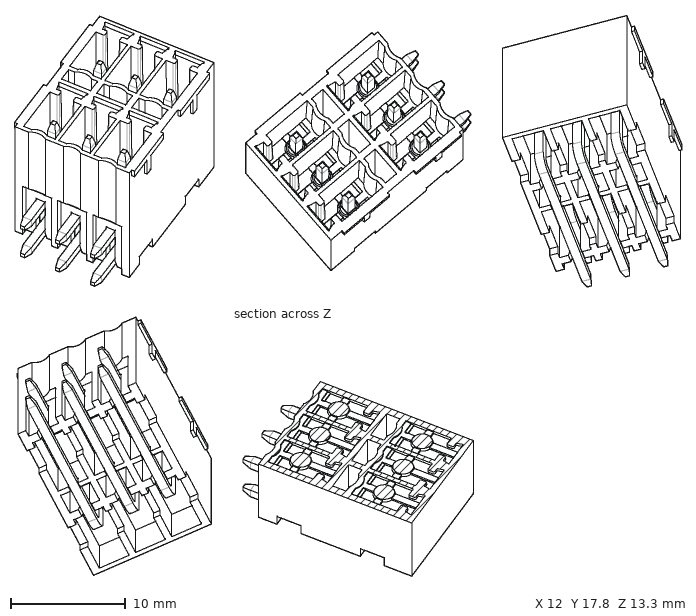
import cadquery as cq
import math


overall_length = 17.8
housing_width = 11.43
housing_depth = 15.18
housing_height = 13.3
column_pitch = 3.5
row_pitch = 8.26
front_row_y = 3.0
column_xs = [-column_pitch, 0, column_pitch]
row_ys = [front_row_y, front_row_y + row_pitch]

pad_thickness = 0.28
pad_length = 5.22
pad_height = 0.71
pad_offset = 0.02
pad_stem_width = 0.65
pad_stem_height = 2.47

floor_z = 6.4
pocket_depth = housing_height - floor_z
pocket_half_width = 1.57
pocket_front = 2.6
pocket_front_draft = 0.2
pocket_draft = 0.062
nib_front = 2.1
nib_back = 2.69
nib_gap_half = 0.71
nib_radius = 0.16
key_half_front = 1.23
key_half_back = 1.37
key_back = 3.4
lead_in_half_width = 1.45
lead_in_width = 0.15
lead_in_height = 0.4
wall_bulge = 0.27
bulge_half_width = 0.78

rib_width = 0.65
rib_height = 0.18
step_height = rib_height / 2
step_back = 1.62
ledge_back = 1.89
collar_base_radius = 0.98
collar_radius = 0.85
collar_top_radius = 0.73
collar_cone_height = 0.53
collar_chamfer_height = 0.15
pin_clearance_size = 0.9
pin_clearance_depth = 0.18

flute_half_width = 0.85
cell_width = 2.88
recess_depth = 0.6
recess_front_height = 6.09
slot_wall_thickness = 0.73
slot_width = 0.93
slot_height = 4.52
flare_half_width = 0.64
flare_height = 0.6

window_front = 6.98
window_back = row_pitch
cavity_height = slot_height
cavity_back = 3.5
tail_slot_height = 0.98
notch_length = 2.37
notch_height = 0.98

pin_size = 0.82
pin_tip_size = 0.41
pin_taper = 0.85
pin_top = 12.14
tail_tip_y = housing_depth - overall_length
bend_radius = 0.89
lower_tail_z = 0.48
tail_zs = [lower_tail_z + column_pitch, lower_tail_z]


def block(x_range, y_range, z_range):
    """Box between the given coordinate pairs."""
    size = [high - low for low, high in (x_range, y_range, z_range)]
    corner = (x_range[0], y_range[0], z_range[0])
    return cq.Workplane("XY").box(*size, centered=False).translate(corner)


def centred_block(x, width, y_range, z_range):
    """Box of the given width centred on x."""
    return block((x - width / 2, x + width / 2), y_range, z_range)


def side_pads(y):
    """T-shaped pads standing out of both side faces beside one pin row."""
    width = housing_width + 2 * pad_thickness
    back = y + pad_length / 2 + pad_offset
    bar = centred_block(0, width, (back - pad_length, back), (housing_height - pad_height, housing_height))
    stem_ys = (y - pad_stem_width / 2, y + pad_stem_width / 2)
    stem = centred_block(0, width, stem_ys, (housing_height - pad_stem_height, housing_height))
    return bar.union(stem)


def pocket_outline(plane, inset, front_inset):
    """Keyed pocket outline about the pin; inset shrinks it inwards."""
    half = pocket_half_width - inset
    front = front_inset - pocket_front
    low = nib_front - inset
    high = nib_back + inset
    gap = nib_gap_half - inset
    key_front = key_half_front - inset
    key_rear = key_half_back - inset
    back = key_back - inset
    r = nib_radius
    mid = r * (1 - math.sqrt(0.5))
    return (
        plane.moveTo(-half, front)
        .lineTo(-bulge_half_width, front)
        .threePointArc((0, front + wall_bulge), (bulge_half_width, front))
        .lineTo(half, front)
        .lineTo(half, low)
        .lineTo(gap + r, low)
        .threePointArc((gap + mid, low + mid), (gap, low + r))
        .lineTo(gap, high - r)
        .threePointArc((gap + mid, high - mid), (gap + r, high))
        .lineTo(key_front, high)
        .lineTo(key_rear, back)
        .lineTo(-key_rear, back)
        .lineTo(-key_front, high)
        .lineTo(-gap - r, high)
        .threePointArc((-gap - mid, high - mid), (-gap, high - r))
        .lineTo(-gap, low + r)
        .threePointArc((-gap - mid, low + mid), (-gap - r, low))
        .lineTo(-half, low)
        .close()
    )


def pocket():
    """Drafted plug pocket with a sloped lead-in along its back edge."""
    floor = pocket_outline(cq.Workplane("XY").workplane(offset=floor_z), pocket_draft, pocket_front_draft)
    body = pocket_outline(floor.workplane(offset=pocket_depth), 0, 0).loft(ruled=True)
    wall_y = key_back - pocket_draft * lead_in_height / pocket_depth
    lead_in = (
        cq.Workplane("YZ")
        .moveTo(wall_y, housing_height)
        .lineTo(key_back + lead_in_width, housing_height)
        .lineTo(wall_y, housing_height - lead_in_height)
        .close()
        .extrude(lead_in_half_width, both=True)
    )
    return body.union(lead_in)


def floor_relief():
    """Cross ribs, stepped front ledge and pin collar on the pocket floor."""
    edge = pocket_half_width
    front = -pocket_front
    rib_top = floor_z + rib_height
    rib_half = rib_width / 2
    relief = centred_block(0, rib_width, (front, key_back), (floor_z, rib_top))
    relief = relief.union(block((-edge, edge), (-rib_half, rib_half), (floor_z, rib_top)))
    relief = relief.union(block((-edge, edge), (front, -ledge_back), (floor_z, rib_top)))
    relief = relief.union(block((-edge, edge), (front, -step_back), (floor_z, floor_z + step_height)))
    cone_top = floor_z + collar_cone_height
    collar = (
        cq.Workplane("XZ")
        .moveTo(0, floor_z)
        .lineTo(collar_base_radius, floor_z)
        .lineTo(collar_radius, cone_top)
        .lineTo(collar_top_radius, cone_top + collar_chamfer_height)
        .lineTo(0, cone_top + collar_chamfer_height)
        .close()
        .revolve(360, (0, 0, 0), (0, 1, 0))
    )
    return relief.union(collar)


def flute():
    """Full-height shallow arc cut in the front wall of a cell."""
    return (
        cq.Workplane("XY")
        .moveTo(-flute_half_width, 0)
        .threePointArc((0, wall_bulge), (flute_half_width, 0))
        .close()
        .extrude(housing_height)
    )


def recess():
    """Front recess whose ceiling slopes down at 45 degrees, with the pin slot behind it."""
    half = slot_width / 2
    slot_back = recess_depth + slot_wall_thickness
    step = (
        cq.Workplane("YZ")
        .lineTo(recess_depth, 0)
        .lineTo(recess_depth, recess_front_height - recess_depth)
        .lineTo(0, recess_front_height)
        .close()
        .extrude(cell_width / 2, both=True)
    )
    slot = (
        cq.Workplane("XZ")
        .moveTo(-flare_half_width, 0)
        .lineTo(-half, flare_height)
        .lineTo(-half, slot_height)
        .lineTo(half, slot_height)
        .lineTo(half, flare_height)
        .lineTo(flare_half_width, 0)
        .close()
        .extrude(-slot_back)
    )
    return step.union(slot)


def underside_cavity():
    """Open-bottomed hollow of a cell, measured from the cell front."""
    front = recess_depth + slot_wall_thickness
    return centred_block(0, cell_width, (front, front_row_y + cavity_back), (0, cavity_height))


def pin_tip(plane):
    """Pyramidal pin end starting on the given plane."""
    base = plane.rect(pin_size, pin_size)
    return base.workplane(offset=pin_taper).rect(pin_tip_size, pin_tip_size).loft(ruled=True)


def pin(tail_z, y):
    """Square pin bent from vertical to a tail pointing forward, tapered at both ends."""
    shank_top = pin_top - pin_taper
    tail_end = tail_tip_y + pin_taper
    bend_mid = bend_radius * (1 - math.sqrt(0.5))
    path = (
        cq.Workplane("YZ")
        .moveTo(y, shank_top)
        .lineTo(y, tail_z + bend_radius)
        .threePointArc((y - bend_mid, tail_z + bend_mid), (y - bend_radius, tail_z))
        .lineTo(tail_end, tail_z)
    )
    rod = cq.Workplane("XY", origin=(0, y, shank_top)).rect(pin_size, pin_size).sweep(path)
    contact_tip = pin_tip(cq.Workplane("XY", origin=(0, y, shank_top)))
    tail_tip = pin_tip(cq.Workplane("XZ", origin=(0, tail_end, tail_z)))
    return rod.union(contact_tip).union(tail_tip)


result = centred_block(0, housing_width, (0, housing_depth), (0, housing_height))
for row_y in row_ys:
    result = result.union(side_pads(row_y))

collar_top = floor_z + collar_cone_height + collar_chamfer_height
pocket_cut = pocket().cut(floor_relief())
pin_clearance = centred_block(
    0, pin_clearance_size, (-pin_clearance_size / 2, pin_clearance_size / 2),
    (collar_top - pin_clearance_depth, collar_top),
)
front_cut = flute().union(recess()).union(underside_cavity())
for row_y in row_ys:
    for x in column_xs:
        result = result.cut(pocket_cut.translate((x, row_y, 0)))
        result = result.cut(front_cut.translate((x, row_y - front_row_y, 0)))
for x in column_xs:
    window = centred_block(x, cell_width, (window_front, window_back), (0, housing_height))
    tail_slot = centred_block(x, slot_width, (front_row_y, window_back), (0, tail_slot_height))
    result = result.cut(window).cut(tail_slot)
    result = result.cut(pin_clearance.translate((x, row_ys[-1], 0)))

for row_y in row_ys:
    notch_ys = (row_y - notch_length / 2, row_y + notch_length / 2)
    result = result.cut(centred_block(0, housing_width, notch_ys, (0, notch_height)))

for row_y, tail_z in zip(row_ys, tail_zs):
    row_pin = pin(tail_z, row_y)
    for x in column_xs:
        result = result.union(row_pin.translate((x, 0, 0)))